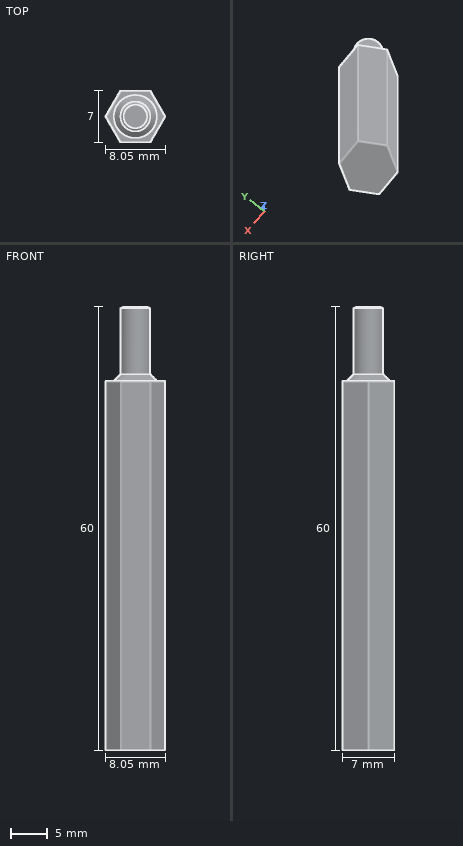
import cadquery as cq
import math

total_length = 60.0
stud_length = 10.0
body_length = total_length - stud_length
across_flats = 7.0
edge_radius = 0.1

stud_diameter = 4.0
tip_chamfer_width = 0.4
tip_chamfer_height = 0.25
root_flare = 0.9


def make_body():
    """Hexagonal prism with corners on the X axis and lightly rounded edges."""
    across_corners = across_flats / math.cos(math.radians(30))
    prism = cq.Workplane("XY").polygon(6, across_corners).extrude(body_length)
    return prism.edges().fillet(edge_radius)


def make_stud():
    """Revolved stud with a flared conical root and a chamfered tip."""
    radius = stud_diameter / 2
    embedded_depth = 0.6
    root_radius = radius + root_flare
    profile = (
        cq.Workplane("XZ")
        .moveTo(0, body_length - embedded_depth)
        .lineTo(root_radius, body_length - embedded_depth)
        .lineTo(root_radius, body_length)
        .lineTo(radius, body_length + root_flare)
        .lineTo(radius, total_length - tip_chamfer_height)
        .lineTo(radius - tip_chamfer_width, total_length)
        .lineTo(0, total_length)
        .close()
    )
    return profile.revolve(360, (0, 0, 0), (0, 1, 0))


result = make_body().union(make_stud())